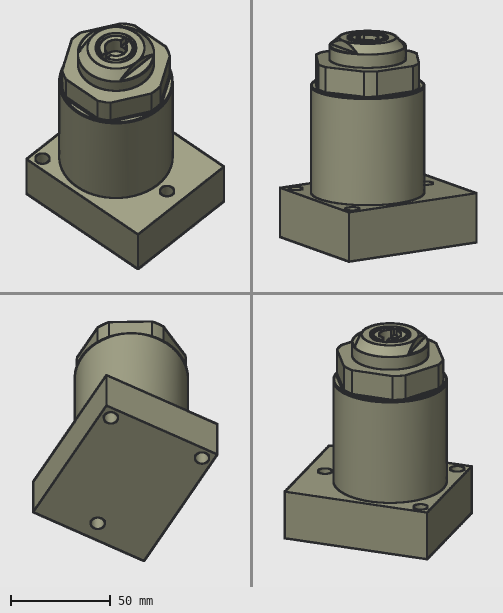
import cadquery as cq
import math

plate_length = 76.2
plate_width = 63.5
plate_height = 25.4
axis_inset = plate_width / 2
mount_radius = 3.6
mount_inset = 5.7
single_mount_x = 34.9

body_radius = 28.5
body_top = 80.5
body_chamfer = 0.4

nut_flats = 50.4
nut_corner_radius = 27.4
nut_top = 93.9
foot_flats = 51.5
foot_corner_radius = 27.9
foot_height = 0.5

collar_radius = 19.1
collar_top = 101.1
collar_chamfer = 0.3
cap_top = 105.0
cap_top_radius = 14.3
cap_flats = 28.6

groove_outer_radius = 10.2
groove_floor_radius = 9.2
groove_inner_radius = 8.3
groove_depth = 0.9
bore_radius = 5.6
bore_depth = 8.4
slot_width = 2.9
slot_depth = 4.2


def cylinder(radius, bottom, top):
    return cq.Workplane("XY").workplane(offset=bottom).circle(radius).extrude(top - bottom)


def frustum(bottom_radius, top_radius, bottom, top):
    return (
        cq.Workplane("XY").workplane(offset=bottom)
        .circle(bottom_radius)
        .workplane(offset=top - bottom)
        .circle(top_radius)
        .loft(ruled=True)
    )


def hexagon_diameter(flats):
    """Diameter across the corners of a sharp hexagon."""
    return flats / math.cos(math.pi / 6)


def make_plate():
    plate_left = -axis_inset
    mount_y = plate_width / 2 - mount_inset
    mounts = [
        (plate_left + mount_inset, mount_y),
        (plate_left + mount_inset, -mount_y),
        (single_mount_x, 0),
    ]
    plate = cq.Workplane("XY").box(plate_length, plate_width, plate_height, centered=(False, True, False))
    plate = plate.translate((plate_left, 0, 0))
    holes = cq.Workplane("XY").pushPoints(mounts).circle(mount_radius).extrude(plate_height)
    return plate.cut(holes)


def make_body():
    return cylinder(body_radius, plate_height, body_top).faces(">Z").chamfer(body_chamfer)


def make_nut():
    """Hexagon with flats facing +Y and -Y, its corners turned to a radius."""
    foot_top = body_top + foot_height
    flare = (
        cq.Workplane("XY").workplane(offset=body_top)
        .polygon(6, hexagon_diameter(foot_flats))
        .workplane(offset=foot_height)
        .polygon(6, hexagon_diameter(nut_flats))
        .loft(ruled=True)
    )
    foot = flare.intersect(frustum(foot_corner_radius, nut_corner_radius, body_top, foot_top))
    prism = (
        cq.Workplane("XY").workplane(offset=foot_top)
        .polygon(6, hexagon_diameter(nut_flats))
        .extrude(nut_top - foot_top)
    )
    return foot.union(prism.intersect(cylinder(nut_corner_radius, foot_top, nut_top)))


def make_cap():
    collar = cylinder(collar_radius, nut_top, collar_top).faces(">Z").chamfer(collar_chamfer)
    cone = frustum(collar_radius - collar_chamfer, cap_top_radius, collar_top, cap_top)
    flats = cq.Workplane("XY").box(cap_flats, 2 * collar_radius, cap_top, centered=(True, True, False))
    return collar.union(cone.intersect(flats))


def make_ring_cuts():
    """V-groove round the ring, blind bore and cross slot."""
    groove = (
        cq.Workplane("XZ")
        .moveTo(groove_outer_radius, cap_top)
        .lineTo(groove_floor_radius, cap_top - groove_depth)
        .lineTo(groove_inner_radius, cap_top)
        .close()
        .revolve(360, (0, 0, 0), (0, 1, 0))
    )
    bore = cylinder(bore_radius, cap_top - bore_depth, cap_top)
    slot_floor = cap_top - slot_depth
    slot = cq.Workplane("XY").box(slot_width, 2 * groove_floor_radius, slot_depth, centered=(True, True, False))
    slot = slot.translate((0, 0, slot_floor)).intersect(cylinder(groove_floor_radius, slot_floor, cap_top))
    return groove.union(bore).union(slot)


result = make_plate().union(make_body()).union(make_nut()).union(make_cap()).cut(make_ring_cuts())